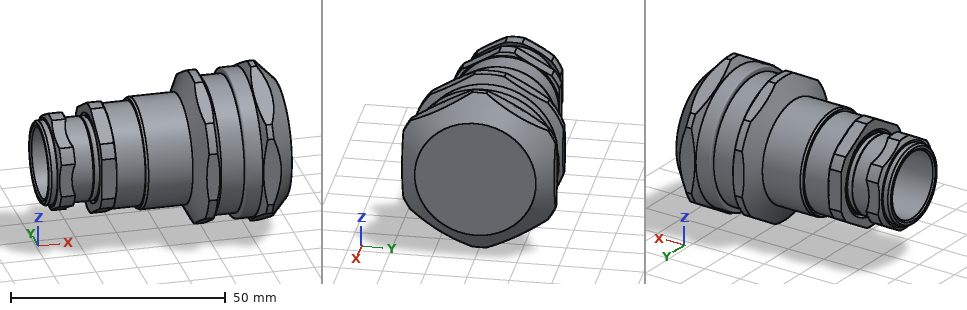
import cadquery as cq
import math


length = 57.18

bore_radius = 17 / 2
bore_chamfer = 0.4
sleeve_radius = 20 / 2
sleeve_chamfer_depth = 0.45
sleeve_chamfer_length = 0.55
sleeve_end_x = 10.85
sleeve_back_chamfer = 0.35

ring_core_radius = 19.1 / 2
ring_radius = 20 / 2
ring_section_radius = 0.7

small_hex_flats = 22
small_hex_corner_radius = 11.72
small_hex_front_x = 1.9
small_hex_front_radius = 10.5
small_hex_front_chamfer = 0.7
small_hex_back_x = 5.14
small_hex_back_lip = 0.8

lock_nut_flats = 25
lock_nut_corner_radius = 13.5
lock_nut_front_x = 11.92
lock_nut_back_x = 15.55
lock_nut_back_radius = 12.7
lock_nut_back_chamfer_length = 0.3
countersink_radius = 10.7
countersink_depth = 0.6

neck_radius = 24.8 / 2
barrel_radius = 26.5 / 2
barrel_front_radius = 25.9 / 2
barrel_front_x = 22.4
barrel_chamfer_length = 0.6
barrel_end_x = 33.64
waist_radius = 32.8 / 2
collar_radius = 35.5 / 2
collar_front_x = 45.2
collar_fillet = 0.4

middle_hex_flats = 35
middle_hex_corner_radius = 18.47
middle_hex_land_start_x = 36.45
middle_hex_land_end_x = 38.5
middle_hex_back_x = 39.7

cap_flats = 36
cap_corner_radius = 19.86
cap_front_x = 49.3
cap_land_start_x = 50.4
cap_land_end_x = 51.87
cap_end_radius = 14.34


def turned(outline):
    """Solid of revolution about X under an outline of (x, radius) points."""
    first_x = outline[0][0]
    last_x = outline[-1][0]
    points = [(first_x, 0)] + outline + [(last_x, 0)]
    return cq.Workplane("XY").polyline(points).close().revolve(360, (0, 0, 0), (1, 0, 0))


def hex_section(outline, flats):
    """Turned outline trimmed to a hexagon with flats facing +Y and -Y and corners at +Z and -Z."""
    start_x = outline[0][0]
    span = max(x for x, radius in outline) - start_x
    across_corners = flats / math.cos(math.pi / 6)
    prism = (
        cq.Workplane("YZ")
        .workplane(offset=start_x)
        .transformed(rotate=(0, 0, 90))
        .polygon(6, across_corners)
        .extrude(span)
    )
    return turned(outline).intersect(prism)


def make_sleeve():
    return turned([
        (0, sleeve_radius - sleeve_chamfer_depth),
        (sleeve_chamfer_length, sleeve_radius),
        (sleeve_end_x - sleeve_back_chamfer, sleeve_radius),
        (sleeve_end_x, sleeve_radius - sleeve_back_chamfer),
    ])


def make_sealing_ring():
    """Round-section ring on a plain core; its back is seated in the countersink of the lock nut."""
    center_x = sleeve_end_x + ring_section_radius
    center_radius = ring_radius - ring_section_radius
    ring = (
        cq.Workplane("XY")
        .center(center_x, center_radius)
        .circle(ring_section_radius)
        .revolve(360, (0, -center_radius, 0), (1, -center_radius, 0))
    )
    core_end_x = lock_nut_front_x + countersink_depth
    core = turned([(sleeve_end_x, ring_core_radius), (core_end_x, ring_core_radius)])
    return core.union(ring)


def make_small_hex():
    """Chamfered in front; the back face is conical, so its corners reach further back than its flats."""
    flat_radius = small_hex_flats / 2
    lip_slope = small_hex_back_lip / (small_hex_corner_radius - flat_radius)
    cone_foot_x = small_hex_back_x - lip_slope * (flat_radius - sleeve_radius)
    return hex_section(
        [
            (small_hex_front_x, small_hex_front_radius),
            (small_hex_front_x + small_hex_front_chamfer, small_hex_corner_radius),
            (small_hex_back_x + small_hex_back_lip, small_hex_corner_radius),
            (cone_foot_x, sleeve_radius),
        ],
        small_hex_flats,
    )


def make_lock_nut():
    """Hexagon chamfered at the back, with a countersink in front around the sealing ring."""
    countersink_end_x = lock_nut_front_x + countersink_depth
    countersink = turned([
        (lock_nut_front_x, countersink_radius),
        (countersink_end_x, countersink_radius - countersink_depth),
    ])
    nut = hex_section(
        [
            (lock_nut_front_x, lock_nut_corner_radius),
            (lock_nut_back_x - lock_nut_back_chamfer_length, lock_nut_corner_radius),
            (lock_nut_back_x, lock_nut_back_radius),
        ],
        lock_nut_flats,
    )
    return nut.cut(countersink)


def make_body():
    """Neck, barrel and waist, from the lock nut to the cap."""
    return turned([
        (lock_nut_back_x, neck_radius),
        (barrel_front_x, neck_radius),
        (barrel_front_x, barrel_front_radius),
        (barrel_front_x + barrel_chamfer_length, barrel_radius),
        (middle_hex_back_x, barrel_radius),
        (middle_hex_back_x, waist_radius),
        (collar_front_x, waist_radius),
    ])


def make_middle_hex():
    return hex_section(
        [
            (barrel_end_x, barrel_radius),
            (middle_hex_land_start_x, middle_hex_corner_radius),
            (middle_hex_land_end_x, middle_hex_corner_radius),
            (middle_hex_back_x, waist_radius),
        ],
        middle_hex_flats,
    )


def make_collar():
    collar = turned([(collar_front_x, collar_radius), (cap_front_x, collar_radius)])
    return collar.faces("<X").edges().fillet(collar_fillet)


def make_cap():
    return hex_section(
        [
            (cap_front_x, collar_radius),
            (cap_land_start_x, cap_corner_radius),
            (cap_land_end_x, cap_corner_radius),
            (length, cap_end_radius),
        ],
        cap_flats,
    )


def make_bore():
    """Blind bore from the entry end to the back of the barrel, with a chamfered mouth."""
    return turned([
        (0, bore_radius + bore_chamfer),
        (bore_chamfer, bore_radius),
        (barrel_end_x, bore_radius),
    ])


sections = [
    make_sealing_ring(),
    make_small_hex(),
    make_lock_nut(),
    make_body(),
    make_middle_hex(),
    make_collar(),
    make_cap(),
]

result = make_sleeve()
for section in sections:
    result = result.union(section)
result = result.cut(make_bore())